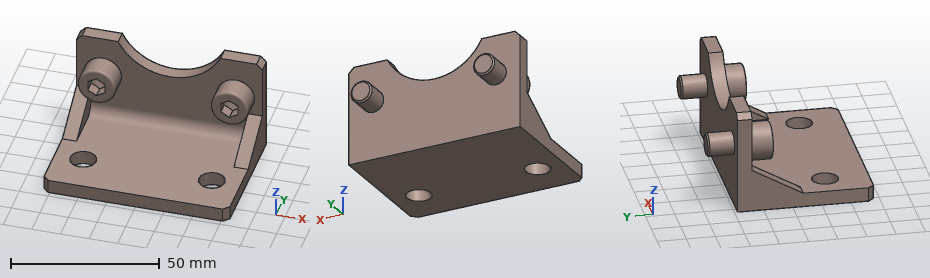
import cadquery as cq
import math

width = 65.0
depth = 47.0
height = 36.0
thickness = 5.0
corner_chamfer = 2.0
inner_fillet = 4.0

gusset_top = 15.0
gusset_reach = 22.55

cutout_radius = 20.0
cutout_height = 45.0

hole_diameter = 9.0
hole_spacing = 45.0
hole_from_front = 15.0

screw_spacing = 46.5
screw_height = 21.6
shank_diameter = 8.0
shank_projection = 9.05
shank_chamfer = 0.6
head_diameter = 13.0
head_length = 8.0
head_fillet = 0.8
socket_flats = 6.0
socket_sides = 6
socket_depth = 4.0
socket_cone_depth = 1.75


def make_base():
    base = cq.Workplane("XY").box(width, depth, thickness, centered=(True, False, False))
    base = base.translate((0, -depth, 0))
    base = base.edges("|Z and <Y").chamfer(corner_chamfer)
    return (
        base.faces(">Z").workplane(origin=(0, hole_from_front - depth, 0))
        .pushPoints([(-hole_spacing / 2, 0), (hole_spacing / 2, 0)])
        .hole(hole_diameter)
    )


def make_upright():
    upright = cq.Workplane("XY").box(width, thickness, height, centered=(True, False, False))
    upright = upright.translate((0, -thickness, 0))
    upright = upright.edges("|Y and >Z").chamfer(corner_chamfer)
    cutout = cq.Workplane("XZ").center(0, cutout_height).circle(cutout_radius).extrude(thickness)
    return upright.cut(cutout)


def make_inner_fillet():
    """Concave strip in the corner between the base and the upright plate."""
    midpoint_offset = inner_fillet * (1 - math.sqrt(0.5))
    return (
        cq.Workplane("YZ", origin=(-width / 2, 0, 0))
        .moveTo(-thickness, thickness)
        .lineTo(-thickness, thickness + inner_fillet)
        .threePointArc(
            (-thickness - midpoint_offset, thickness + midpoint_offset),
            (-thickness - inner_fillet, thickness),
        )
        .close()
        .extrude(width)
    )


def make_gusset(left_x):
    return (
        cq.Workplane("YZ", origin=(left_x, 0, 0))
        .moveTo(-thickness, thickness)
        .lineTo(-thickness, gusset_top)
        .lineTo(-gusset_reach, thickness)
        .close()
        .extrude(thickness)
    )


def make_screw(x):
    """Screw with its head on the front of the upright and its tip behind it."""
    head_front = -thickness - head_length
    shank = (
        cq.Workplane("XZ", origin=(x, shank_projection, screw_height))
        .circle(shank_diameter / 2)
        .extrude(shank_projection + thickness)
        .faces(">Y").chamfer(shank_chamfer)
    )
    head = (
        cq.Workplane("XZ", origin=(x, -thickness, screw_height))
        .circle(head_diameter / 2)
        .extrude(head_length)
        .faces("<Y").edges().fillet(head_fillet)
    )
    socket_radius = socket_flats / 2 / math.cos(math.pi / socket_sides)
    socket_envelope = (
        cq.Workplane("XY")
        .lineTo(socket_radius, 0)
        .lineTo(socket_radius, socket_depth)
        .lineTo(0, socket_depth + socket_cone_depth)
        .close()
        .revolve(360, (0, 0, 0), (0, 1, 0))
        .translate((x, head_front, screw_height))
    )
    corner_angles = [2 * math.pi * i / socket_sides for i in range(socket_sides)]
    corners = [
        (socket_radius * math.sin(angle), socket_radius * math.cos(angle))
        for angle in corner_angles
    ]
    socket = (
        cq.Workplane("XZ", origin=(x, head_front, screw_height))
        .polyline(corners).close()
        .extrude(-socket_depth - socket_cone_depth)
        .intersect(socket_envelope)
    )
    return shank.union(head.cut(socket))


result = make_base().union(make_upright()).union(make_inner_fillet())
for gusset_left in (-width / 2, width / 2 - thickness):
    result = result.union(make_gusset(gusset_left))
for screw_x in (-screw_spacing / 2, screw_spacing / 2):
    result = result.union(make_screw(screw_x))